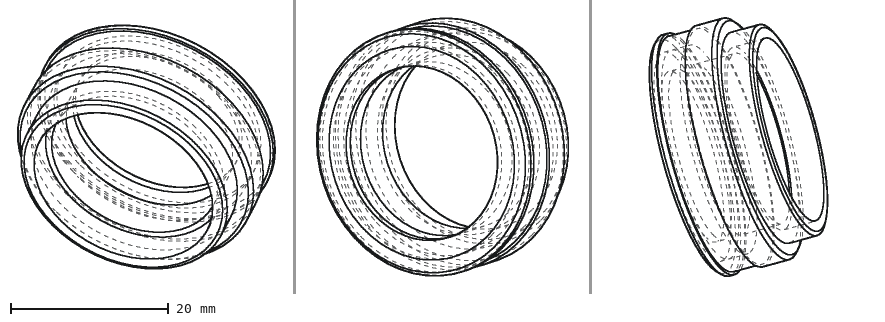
import cadquery as cq

length = 13.27
rim_diameter = 31.75
groove_diameter = 31.0
nose_diameter = 27.75
mouth_diameter = 24.05
bore_diameter = 22.4
seat_diameter = 27.45

nose_length = 4.1
groove_start = 8.22
groove_end = 12.05
rim_chamfer = 0.5
nose_chamfer_depth = 0.3
nose_chamfer_width = 0.5

mouth_depth = 4.35
seat_start = 9.75
closing_ring_thickness = 1.02

front_face = -length / 2
rear_face = length / 2


def cylinder(diameter, start, end):
    """Solid cylinder along Y; start and end are measured from the front face."""
    base = cq.Workplane("XZ", origin=(0, front_face + start, 0))
    return base.circle(diameter / 2).extrude(start - end)


def make_housing():
    """Stepped sleeve with a grooved rim, a narrower nose and a rear seat."""
    nose = (
        cylinder(nose_diameter, 0, nose_length)
        .faces("<Y")
        .chamfer(nose_chamfer_depth, nose_chamfer_width)
    )
    rim = cylinder(rim_diameter, nose_length, length).faces("<Y or >Y").chamfer(rim_chamfer)
    groove = cylinder(rim_diameter, groove_start, groove_end).cut(
        cylinder(groove_diameter, groove_start, groove_end)
    )
    return (
        nose.union(rim)
        .cut(groove)
        .cut(cylinder(bore_diameter, 0, length))
        .cut(cylinder(mouth_diameter, 0, mouth_depth))
        .cut(cylinder(seat_diameter, seat_start, length))
    )


def make_closing_ring():
    """Flat ring that fills the rear end of the seat, flush with the rear face."""
    start = length - closing_ring_thickness
    return cylinder(seat_diameter, start, length).cut(cylinder(bore_diameter, start, length))


housing = make_housing()
closing_ring = make_closing_ring()

result = cq.Compound.makeCompound([housing.val(), closing_ring.val()])